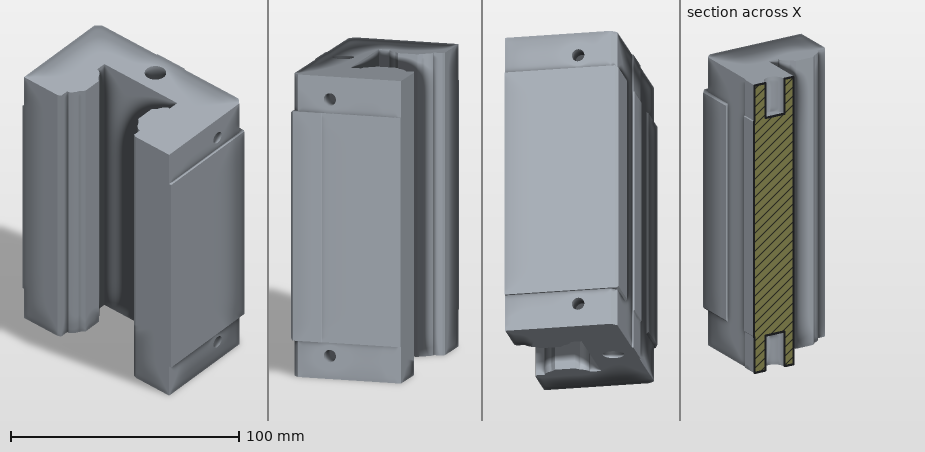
import cadquery as cq


length = 135.5
width = 86.0
height = 50.7
deck_y = 49.7

cap_length = 16.4
cap_width = 83.7
cap_chamfer = 2.5

block_length = length - 2 * cap_length
flank_step_y = 36.5
flank_setback = 0.4
block_chamfer = 1.4

pad_inner_x = 22.8
pad_height = height - deck_y
pad_end_bevel = 0.8
strip_width = 15.5
cap_strip_height = 0.5

wall_x = 21.0
ceiling_y = 29.8
lip_width = 1.5
lip_height = 0.7

jaw_mid_y = 14.8
jaw_face_x = 15.2
jaw_face_half = 4.5
jaw_bevel = 1.9
jaw_arc_x = 18.3
jaw_arc_half = 8.5
jaw_shelf_x = 20.0
jaw_shelf_half = 10.0

end_hole_diameter = 9.5
end_hole_y = 39.7
end_hole_depth = cap_length
side_hole_diameter = 5.5
side_hole_y = 32.7
side_hole_inset = 10.3
side_hole_depth = 8.1


def centred_box(size_x, y_low, y_high, size_z):
    """Box centred on X and Z between two heights."""
    return cq.Workplane("XY").box(size_x, y_high - y_low, size_z).translate((0, (y_low + y_high) / 2, 0))


def make_caps():
    """Full length body with the cap section; the block covers its middle."""
    body = centred_box(cap_width, 0, deck_y, length)
    body = body.edges("|Z and >Y").chamfer(cap_chamfer)
    strip = centred_box(strip_width, deck_y, deck_y + cap_strip_height, length)
    return body.union(strip)


def make_block():
    """Wider middle block with a stepped -X flank, chamfered corners and raised pads."""
    flank_x = width / 2
    setback_x = flank_x - flank_setback
    block_outline = [
        (flank_x, 0),
        (flank_x, height - block_chamfer),
        (flank_x - block_chamfer, height),
        (block_chamfer - flank_x, height),
        (-flank_x, height - block_chamfer),
        (-flank_x, flank_step_y),
        (-setback_x, flank_step_y - flank_setback),
        (-setback_x, 0),
    ]
    block = (
        cq.Workplane("XY")
        .polyline(block_outline)
        .close()
        .extrude(block_length / 2, both=True)
    )
    block = block.faces(">Y").edges("|X").chamfer(pad_height, pad_end_bevel)

    gap_width = pad_inner_x - strip_width / 2
    gap_x = (pad_inner_x + strip_width / 2) / 2
    gap = centred_box(gap_width, deck_y, height, block_length)
    for side in (-1, 1):
        block = block.cut(gap.translate((side * gap_x, 0, 0)))
    return block


def make_channel():
    """Rail channel, drawn as its +X half and mirrored about X = 0."""
    bevel_x = jaw_face_x + jaw_bevel
    bevel_half = jaw_face_half + jaw_bevel
    half = (
        cq.Workplane("XY")
        .workplane(offset=-length / 2)
        .moveTo(0, 0)
        .lineTo(wall_x + lip_width, 0)
        .lineTo(wall_x, lip_height)
        .lineTo(wall_x, jaw_mid_y - jaw_shelf_half)
        .lineTo(jaw_shelf_x, jaw_mid_y - jaw_shelf_half)
        .threePointArc((jaw_arc_x, jaw_mid_y - jaw_arc_half), (bevel_x, jaw_mid_y - bevel_half))
        .lineTo(jaw_face_x, jaw_mid_y - jaw_face_half)
        .lineTo(jaw_face_x, jaw_mid_y + jaw_face_half)
        .lineTo(bevel_x, jaw_mid_y + bevel_half)
        .threePointArc((jaw_arc_x, jaw_mid_y + jaw_arc_half), (jaw_shelf_x, jaw_mid_y + jaw_shelf_half))
        .lineTo(wall_x, jaw_mid_y + jaw_shelf_half)
        .lineTo(wall_x, ceiling_y)
        .lineTo(0, ceiling_y)
        .close()
        .extrude(length)
    )
    return half.union(half.mirror("YZ"))


def make_holes():
    """Lubrication holes of the +Z cap: one in its end face and one in each flank."""
    holes = (
        cq.Workplane("XY")
        .workplane(offset=length / 2 - end_hole_depth)
        .center(0, end_hole_y)
        .circle(end_hole_diameter / 2)
        .extrude(end_hole_depth)
    )
    flank_hole = (
        cq.Workplane("YZ")
        .workplane(offset=cap_width / 2 - side_hole_depth)
        .center(side_hole_y, length / 2 - side_hole_inset)
        .circle(side_hole_diameter / 2)
        .extrude(side_hole_depth)
    )
    return holes.union(flank_hole).union(flank_hole.mirror("YZ"))


holes = make_holes()
result = make_caps().union(make_block()).cut(make_channel())
result = result.cut(holes).cut(holes.mirror("XY"))